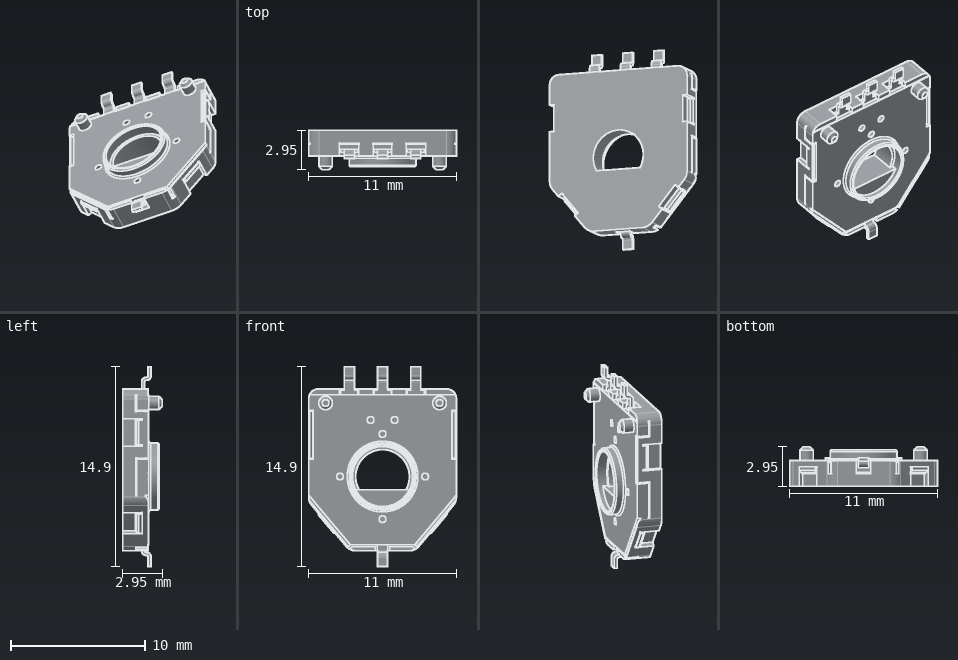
import cadquery as cq
import math


HALF_WIDTH = 5.51
TOP_Z = 6.54
BOTTOM_Z = -5.55
SHOULDER_Z = -1.86
SLOPE_ANGLE = 40.0
TOP_RADIUS = 0.76
LOWER_RADIUS = 1.0
BOTTOM_HALF_WIDTH = HALF_WIDTH - (SHOULDER_Z - BOTTOM_Z) * math.tan(math.radians(SLOPE_ANGLE))
BEYOND = 0.3

POCKET_FLOOR = 0.95
PLATE_GAP = 0.09
PLATE_BACK = POCKET_FLOOR + PLATE_GAP
HOUSING_FRONT = 1.89
PLATE_FRONT = 1.94

PLATE_TOP_Z = 6.08
PLATE_BOTTOM_Z = -5.08
WALL = 0.09
BEVEL_INSET = 0.31
BEVEL_FOOT = HOUSING_FRONT - (BEVEL_INSET - WALL)
NOTCH_INSET = 0.35
TAB_LENGTH = 3.5
TAB_MIDDLE_Z = 3.11
NOTCH_LENGTH = TAB_LENGTH + 2 * WALL
SLOPE_CUT_REACH = 8.94
SLOPE_WALL_LENGTH = 4.47
LIP_TOP_Z = -5.22
LIP_INNER_X = 0.54
LIP_OUTER_X = 2.24

WINDOW_LENGTH = 2.03
WINDOW_INSET = NOTCH_INSET
WINDOW_FRONT = 1.46
LUG_LENGTH = 1.85
LUG_BACK = 1.2
SLOPE_LUG_OVERHANG = 0.07
SIDE_WINDOW_Z = 3.28
SLOPE_WINDOW_OFFSET = 2.12

BOSS_RADIUS = 2.5
BOSS_FRONT = 2.73
FLARE = 0.13
BOSS_EDGE_CHAMFER = (0.09, 0.13)
BORE_RADIUS = 2.24
BORE_MOUTH_CHAMFER = (0.12, 0.06)
BORE_STEP = 1.88
SHAFT_RADIUS = 2.0
SHAFT_FLAT_Z = -0.97
FLAT_FRONT = 2.26

PIN_X = 4.25
PIN_Z = 5.48
PIN_RADIUS = 0.5
PIN_TIP_CHAMFER = 0.25
PIN_FRONT = 2.95
HOLE_RADIUS = 0.25
HOLE_DEPTH = 0.5
HOLE_CIRCLE_RADIUS = 3.17
UPPER_HOLE_X = 0.9
UPPER_HOLE_Z = 4.22

TERMINAL_X = 2.47
TERMINAL_WIDTH = 0.77
TERMINAL_SHOULDER_WIDTH = 1.27
TERMINAL_SHOULDER_Z = 6.44
TERMINAL_THICKNESS = 0.24
TERMINAL_FRONT = 2.12
TERMINAL_STEP = 0.48
BEND_RADIUS = 0.22
TERMINAL_ROOT = 0.15
TERMINAL_TOP_Z = 8.2
UPPER_BEND_Z = 7.06
TERMINAL_SPAN = 14.9
TERMINAL_BOTTOM_Z = TERMINAL_TOP_Z - TERMINAL_SPAN
LOWER_BEND_Z = BOTTOM_Z
SIDE_OPENING_WIDTH = 1.45
MIDDLE_OPENING_WIDTH = 1.4
OPENING_X = 2.49


def slab(depth_back, depth_front):
    """Sketch plane at one depth, and the thickness to extrude forward to the other."""
    return cq.Workplane("XZ", origin=(0, -depth_back, 0)), depth_front - depth_back


def block(x_range, depth_range, z_range):
    plane, thickness = slab(*depth_range)
    size = (x_range[1] - x_range[0], z_range[1] - z_range[0])
    return plane.center(sum(x_range) / 2, sum(z_range) / 2).rect(*size).extrude(thickness)


def disc(radius, depth_back, depth_front, x=0, z=0):
    plane, thickness = slab(depth_back, depth_front)
    return plane.center(x, z).circle(radius).extrude(thickness)


def outline(depth_back, depth_front):
    """The full housing outline with its rounded corners."""
    plane, thickness = slab(depth_back, depth_front)
    right = [(HALF_WIDTH, TOP_Z), (HALF_WIDTH, SHOULDER_Z), (BOTTOM_HALF_WIDTH, BOTTOM_Z)]
    left = [(-x, z) for x, z in reversed(right)]
    body = plane.polyline(right + left).close().extrude(thickness)
    body = body.edges("|Y").edges(">Z").fillet(TOP_RADIUS)
    lower_corners = cq.selectors.BoxSelector(
        (-HALF_WIDTH - BEYOND, -depth_front, BOTTOM_Z - BEYOND),
        (HALF_WIDTH + BEYOND, -depth_back, SHOULDER_Z + BEYOND))
    return body.edges("|Y").edges(lower_corners).fillet(LOWER_RADIUS)


def on_side(shape):
    """Copies a shape made for the right vertical side (X = 0 on its surface) to both sides."""
    right = shape.translate((HALF_WIDTH, 0, 0))
    return right.union(right.mirror("YZ"))


def on_slope(shape):
    """Same for the sloping sides: Z = 0 goes to the shoulder corner."""
    right = shape.rotate((0, 0, 0), (0, 1, 0), SLOPE_ANGLE).translate((HALF_WIDTH, 0, SHOULDER_Z))
    return right.union(right.mirror("YZ"))


def edge_prism(points, length, middle_z):
    """Prism along an edge; points are (distance outside the surface, depth)."""
    section = [(outside, -depth) for outside, depth in points]
    start = cq.Workplane("XY", origin=(0, 0, middle_z - length / 2))
    return start.polyline(section).close().extrude(length)


def edge_wall(plate_inset, length, middle_z):
    """Retaining wall, thin at the front, whose inner face slopes in toward the plate."""
    points = [(BEYOND, POCKET_FLOOR), (-plate_inset, POCKET_FLOOR), (-plate_inset, BEVEL_FOOT),
              (-BEVEL_INSET, BEVEL_FOOT), (-WALL, HOUSING_FRONT), (BEYOND, HOUSING_FRONT)]
    return edge_prism(list(dict.fromkeys(points)), length, middle_z)


def plate_edge_cut(inset, length, middle_z):
    return block((-inset, BEYOND), (PLATE_BACK, PLATE_FRONT),
                 (middle_z - length / 2, middle_z + length / 2))


def window_cut(middle_z):
    return block((-WINDOW_INSET, BEYOND), (0, WINDOW_FRONT),
                 (middle_z - WINDOW_LENGTH / 2, middle_z + WINDOW_LENGTH / 2))


def lug(overhang, middle_z):
    """Hook with a flat front and a back that slopes in at 45 degrees to the plate."""
    slope_end = overhang - (LUG_BACK - PLATE_BACK)
    points = [(-WINDOW_INSET, WINDOW_FRONT), (overhang, WINDOW_FRONT), (overhang, LUG_BACK),
              (slope_end, PLATE_BACK), (-WINDOW_INSET, PLATE_BACK)]
    return edge_prism(points, LUG_LENGTH, middle_z)


def housing():
    body = outline(0, POCKET_FLOOR)
    front_layer = outline(POCKET_FLOOR, HOUSING_FRONT)
    layer = (POCKET_FLOOR, HOUSING_FRONT)

    top_rail = block((-HALF_WIDTH, HALF_WIDTH), layer, (PLATE_TOP_Z, TOP_Z))
    openings = [(-OPENING_X, SIDE_OPENING_WIDTH), (0, MIDDLE_OPENING_WIDTH),
                (OPENING_X, SIDE_OPENING_WIDTH)]
    for x, width in openings:
        top_rail = top_rail.cut(block((x - width / 2, x + width / 2), layer, (PLATE_TOP_Z, TOP_Z)))

    plane, thickness = slab(*layer)
    lip_height = LIP_TOP_Z - BOTTOM_Z
    lip = plane.polyline([
        (LIP_INNER_X, LIP_TOP_Z), (LIP_OUTER_X, LIP_TOP_Z),
        (LIP_OUTER_X + lip_height, BOTTOM_Z), (LIP_INNER_X, BOTTOM_Z),
    ]).close().extrude(thickness)

    slope_wall = on_slope(edge_wall(BEVEL_INSET, 2 * SLOPE_WALL_LENGTH, 0))
    slope_wall = slope_wall.cut(block((-HALF_WIDTH, HALF_WIDTH), layer, (0, TOP_Z)))
    for edge in (top_rail, on_side(edge_wall(NOTCH_INSET, TAB_LENGTH, TAB_MIDDLE_Z)), slope_wall,
                 lip, lip.mirror("YZ")):
        body = body.union(front_layer.intersect(edge))

    body = body.cut(on_side(window_cut(SIDE_WINDOW_Z)))
    return body.cut(on_slope(window_cut(-SLOPE_WINDOW_OFFSET)))


def cover_plate():
    depths = (PLATE_BACK, PLATE_FRONT)
    plate = outline(*depths).intersect(
        block((-HALF_WIDTH, HALF_WIDTH), depths, (PLATE_BOTTOM_Z, PLATE_TOP_Z)))
    plate = plate.cut(on_side(plate_edge_cut(NOTCH_INSET, NOTCH_LENGTH, TAB_MIDDLE_Z)))
    plate = plate.cut(on_slope(plate_edge_cut(BEVEL_INSET, 2 * SLOPE_CUT_REACH, 0)))
    plate = plate.union(on_side(lug(0, SIDE_WINDOW_Z)))
    return plate.union(on_slope(lug(SLOPE_LUG_OVERHANG, -SLOPE_WINDOW_OFFSET)))


def boss():
    """Turned boss on the plate, flared at its foot, with the hub that reaches the housing."""
    radial, axial = BOSS_EDGE_CHAMFER
    section = [
        (0, POCKET_FLOOR), (BORE_RADIUS, POCKET_FLOOR), (BORE_RADIUS, PLATE_BACK),
        (BOSS_RADIUS + FLARE, PLATE_BACK), (BOSS_RADIUS + FLARE, PLATE_FRONT),
        (BOSS_RADIUS, PLATE_FRONT + FLARE), (BOSS_RADIUS, BOSS_FRONT - axial),
        (BOSS_RADIUS - radial, BOSS_FRONT), (0, BOSS_FRONT),
    ]
    points = [(r, -depth) for r, depth in section]
    return cq.Workplane("XY").polyline(points).close().revolve(360, (0, 0), (0, 1))


def shaft_hole():
    """D-shaped hole, widened in front of a step, with the flat stopping inside the boss."""
    bore = disc(BORE_RADIUS, BORE_STEP, BOSS_FRONT)
    radial, axial = BORE_MOUTH_CHAMFER
    plane, thickness = slab(BOSS_FRONT - axial, BOSS_FRONT)
    mouth = plane.circle(BORE_RADIUS).workplane(offset=thickness).circle(BORE_RADIUS + radial).loft()
    flat = block((-BORE_RADIUS, BORE_RADIUS), (0, FLAT_FRONT), (-BORE_RADIUS, SHAFT_FLAT_Z))
    return disc(SHAFT_RADIUS, 0, BORE_STEP).union(bore).cut(flat).union(mouth)


def pin(x):
    post = disc(PIN_RADIUS, PLATE_BACK, PIN_FRONT, x, PIN_Z)
    return post.faces("<Y").chamfer(PIN_TIP_CHAMFER)


def small_holes():
    r = HOLE_CIRCLE_RADIUS
    spots = [(r, 0), (-r, 0), (0, r), (0, -r),
             (UPPER_HOLE_X, UPPER_HOLE_Z), (-UPPER_HOLE_X, UPPER_HOLE_Z)]
    plane, thickness = slab(PLATE_FRONT - HOLE_DEPTH, PLATE_FRONT)
    return plane.pushPoints(spots).circle(HOLE_RADIUS).extrude(thickness)


def terminal(x, root_z, bend_z, end_z):
    """Strip that leaves the plate, steps forward through two bends and ends in a straight leg."""
    out = math.copysign(1, end_z - root_z)
    front_y = -(TERMINAL_FRONT - TERMINAL_THICKNESS / 2)
    back_y = front_y + TERMINAL_STEP
    corner = BEND_RADIUS * math.sqrt(0.5)
    level_z = bend_z + out * BEND_RADIUS
    path = (
        cq.Workplane("YZ", origin=(x, 0, 0)).moveTo(back_y, root_z).lineTo(back_y, bend_z)
        .threePointArc((back_y - BEND_RADIUS + corner, bend_z + out * corner),
                       (back_y - BEND_RADIUS, level_z))
        .lineTo(front_y + BEND_RADIUS, level_z)
        .threePointArc((front_y + BEND_RADIUS - corner, level_z + out * (BEND_RADIUS - corner)),
                       (front_y, level_z + out * BEND_RADIUS))
        .lineTo(front_y, end_z)
    )
    section = cq.Workplane("XY", origin=(x, back_y, root_z)).rect(TERMINAL_WIDTH, TERMINAL_THICKNESS)
    return section.sweep(path)


def upper_terminal(x):
    root_z = PLATE_TOP_Z - TERMINAL_ROOT
    back = TERMINAL_FRONT - TERMINAL_STEP - TERMINAL_THICKNESS
    half = TERMINAL_SHOULDER_WIDTH / 2
    shoulders = block((x - half, x + half), (back, back + TERMINAL_THICKNESS),
                      (root_z, TERMINAL_SHOULDER_Z))
    return terminal(x, root_z, UPPER_BEND_Z, TERMINAL_TOP_Z).union(shoulders)


result = housing().union(cover_plate()).union(boss())
for pin_x in (-PIN_X, PIN_X):
    result = result.union(pin(pin_x))
result = result.cut(shaft_hole()).cut(small_holes())
for terminal_x in (-TERMINAL_X, 0, TERMINAL_X):
    result = result.union(upper_terminal(terminal_x))
result = result.union(
    terminal(0, PLATE_BOTTOM_Z + TERMINAL_ROOT, LOWER_BEND_Z, TERMINAL_BOTTOM_Z))